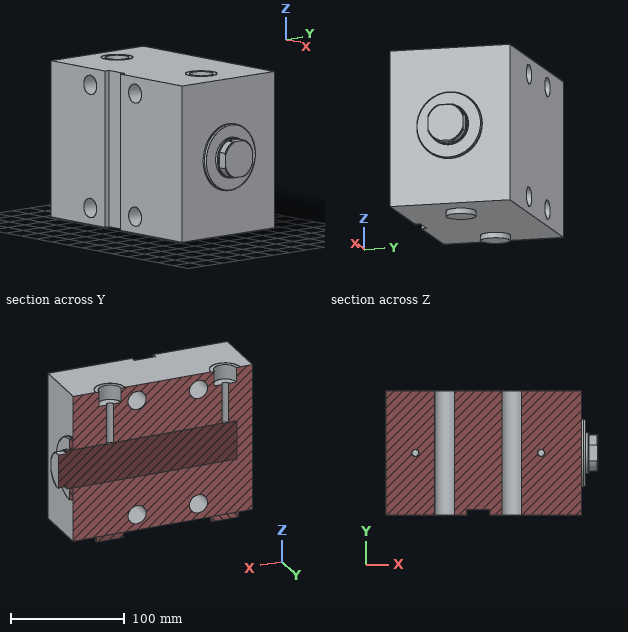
import cadquery as cq

block_length = 172.8
block_depth = 110.0
block_height = 140.0

keyway_center_x = 81.5
keyway_width = 20.0
keyway_depth = 4.9

mount_hole_diameter = 17.0
mount_hole_spacing_x = 59.0
mount_hole_edge_distance = 15.0

port_offset = 26.2
port_spacing = 110.9
port_positions = [port_offset, port_offset + port_spacing]
port_diameter = 21.0
port_depth = 14.0
spotface_diameter = 28.0
spotface_depth = 0.2
passage_diameter = 6.0

foot_diameter = 26.2
foot_height = 4.9

gland_diameter = 59.7
gland_thickness = 3.4
gland_bevel_length = 1.7
gland_bevel_depth = 0.7

rod_axis_z = block_height / 2
rod_diameter = 36.3
rod_rear_wall = 15.0
collar_length = 3.0
collar_chamfer = 0.7
neck_diameter = 35.0
neck_across_flats = 32.2
neck_chamfer = 0.7
rod_reach = 187.0

collar_end = block_length + gland_thickness + collar_length
neck_length = rod_reach - collar_end


def cylinder_along_x(start_x, length, diameter):
    """Cylinder on the rod axis, starting at start_x."""
    return (
        cq.Workplane("YZ", origin=(start_x, 0, rod_axis_z))
        .circle(diameter / 2)
        .extrude(length)
    )


def cylinder_down(center_x, top_z, depth, diameter):
    """Vertical cylinder on the middle plane, going down from top_z."""
    return (
        cq.Workplane("XY", origin=(center_x, 0, top_z))
        .circle(diameter / 2)
        .extrude(-depth)
    )


def cut_keyway(block):
    keyway = cq.Workplane("XY").box(
        keyway_width, 2 * keyway_depth, block_height, centered=(True, True, False)
    )
    return block.cut(keyway.translate((keyway_center_x, -block_depth / 2, 0)))


def cut_mount_holes(block):
    spacing_z = block_height - 2 * mount_hole_edge_distance
    holes = (
        cq.Workplane("XZ", origin=(keyway_center_x, block_depth / 2, block_height / 2))
        .rarray(mount_hole_spacing_x, spacing_z, 2, 2)
        .circle(mount_hole_diameter / 2)
        .extrude(block_depth)
    )
    return block.cut(holes)


def cut_port(block, center_x):
    """Spotfaced port with a narrow passage down to the rod bore."""
    depth_to_axis = block_height - rod_axis_z
    block = block.cut(cylinder_down(center_x, block_height, spotface_depth, spotface_diameter))
    block = block.cut(cylinder_down(center_x, block_height, port_depth, port_diameter))
    return block.cut(cylinder_down(center_x, block_height, depth_to_axis, passage_diameter))


def make_housing():
    block = cq.Workplane("XY").box(
        block_length, block_depth, block_height, centered=(False, True, False)
    )
    block = cut_keyway(block)
    block = cut_mount_holes(block)
    for center_x in port_positions:
        block = cut_port(block, center_x)
    bore_length = block_length - rod_rear_wall
    return block.cut(cylinder_along_x(rod_rear_wall, bore_length, rod_diameter))


def make_gland():
    """Ring around the rod, its outer front edge bevelled."""
    inner_radius = rod_diameter / 2
    outer_radius = gland_diameter / 2
    profile = (
        cq.Workplane("XY")
        .moveTo(0, inner_radius)
        .lineTo(0, outer_radius)
        .lineTo(gland_thickness - gland_bevel_length, outer_radius)
        .lineTo(gland_thickness, outer_radius - gland_bevel_depth)
        .lineTo(gland_thickness, inner_radius)
        .close()
    )
    ring = profile.revolve(360, (0, 0, 0), (1, 0, 0))
    return ring.translate((block_length, 0, rod_axis_z))


def make_rod():
    """Round rod ending in a neck with four wrench flats."""
    shaft = cylinder_along_x(rod_rear_wall, collar_end - rod_rear_wall, rod_diameter)
    shaft = shaft.faces(">X").chamfer(collar_chamfer)
    neck = cylinder_along_x(collar_end, neck_length, neck_diameter)
    neck = neck.faces(">X").chamfer(neck_chamfer)
    flats = (
        cq.Workplane("YZ", origin=(collar_end, 0, rod_axis_z))
        .rect(neck_across_flats, neck_across_flats)
        .extrude(neck_length)
    )
    return shaft.union(neck.intersect(flats))


def make_foot(center_x):
    return cylinder_down(center_x, 0, foot_height, foot_diameter)


housing = make_housing()
gland = make_gland()
rod = make_rod()
feet = [make_foot(center_x).val() for center_x in port_positions]

result = cq.Compound.makeCompound([housing.val(), gland.val(), rod.val(), *feet])